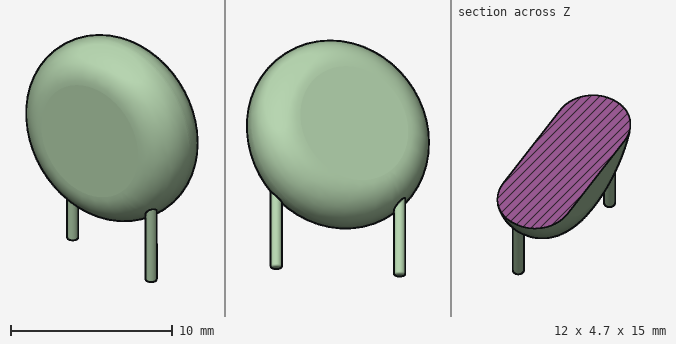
import cadquery as cq

body_diameter = 12.0
body_thickness = 4.7
rim_band_width = 0.12
rim_radius = (body_thickness - rim_band_width) / 2

lead_diameter = 0.72
lead_pitch = 7.5
lead_offset = 2.055
overall_height = 15.03
lead_tip_radius = lead_diameter / 5

lead_bottom_z = body_diameter / 2 - overall_height
lead_top_z = -body_diameter / 4


def make_body():
    disc = cq.Workplane("XZ").circle(body_diameter / 2).extrude(body_thickness / 2, both=True)
    return disc.edges("%CIRCLE").fillet(rim_radius)


def make_lead(x, y):
    lead = (
        cq.Workplane("XY", origin=(x, y, lead_bottom_z))
        .circle(lead_diameter / 2)
        .extrude(lead_top_z - lead_bottom_z)
    )
    return lead.faces("<Z").edges().fillet(lead_tip_radius)


result = make_body()
for side in (-1, 1):
    result = result.union(make_lead(side * lead_pitch / 2, -side * lead_offset / 2))